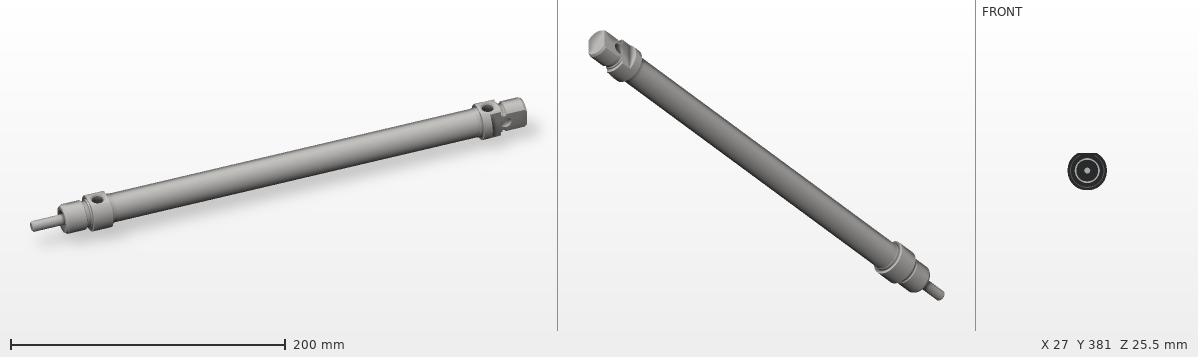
import cadquery as cq
import math

overall_length = 381.0

rod_dia = 8.0
rod_tip_dia = 6.0
wrench_flat_height = 3.62
wrench_flat_length = 4.0

spigot_dia = 22.0
groove_dia = 20.0
spigot_chamfer = 1.0
spigot_chamfer_length = 2.0
collar_dia = 27.0
collar_length = 15.0
lip_length = 2.3
port_flat_height = 12.0
groove_margin = 1.0
groove_length = 3.5
groove_slope = 0.57

nose_y = 23.5
front_collar_y = 44.0
seal_recess_dia = 12.0
seal_recess_mouth_dia = 14.0
seal_recess_depth = 2.3
rod_clearance_dia = 9.0
rod_clearance_depth = 2.3

rear_collar_end_y = 360.8
tang_width = 15.2
tang_start_y = 352.5
pin_hole_dia = 8.5
pin_hole_y = 365.0

port_dia = 8.5
port_mouth_dia = 10.5
rear_port_depth = 8.5
drill_point_angle = 118.0

barrel_dia = 21.5
barrel_start_y = front_collar_y + collar_length + lip_length
rear_collar_start_y = rear_collar_end_y - collar_length
barrel_end_y = rear_collar_start_y - lip_length


def turned(profile):
    """Revolve a (radius, y) profile, closed along the axis, about the Y axis."""
    first_y = profile[0][1]
    last_y = profile[-1][1]
    points = [(0, first_y), *profile, (0, last_y)]
    return cq.Workplane("XY").polyline(points).close().revolve(360, (0, 0, 0), (0, 1, 0))


def cylinder(diameter, start_y, end_y):
    return turned([(diameter / 2, start_y), (diameter / 2, end_y)])


def cap_blank(end_y, collar_y, barrel_y):
    """Turned cap running from its outer end towards the barrel, in either direction along Y."""
    inward = math.copysign(1, barrel_y - end_y)
    groove_end = collar_y - inward * groove_margin
    groove_start = groove_end - inward * groove_length
    spigot_radius = spigot_dia / 2
    groove_radius = groove_dia / 2
    collar_end = collar_y + inward * collar_length
    return turned([
        (spigot_radius - spigot_chamfer, end_y),
        (spigot_radius, end_y + inward * spigot_chamfer_length),
        (spigot_radius, groove_start),
        (groove_radius, groove_start + inward * groove_slope),
        (groove_radius, groove_end),
        (spigot_radius, groove_end),
        (spigot_radius, collar_y),
        (collar_dia / 2, collar_y),
        (collar_dia / 2, collar_end),
        (spigot_radius, collar_end),
        (spigot_radius, barrel_y),
    ])


def above_port_flat(collar_start_y):
    """Material removed from the top of a collar to leave the flat around its port."""
    return cq.Workplane("XY").box(
        collar_dia, collar_length, collar_dia, centered=(True, False, False)
    ).translate((0, collar_start_y, port_flat_height))


def port_hole(y, depth):
    """Cutter for a round port with a countersunk mouth in the port flat."""
    hole = cq.Workplane("XY", origin=(0, y, port_flat_height)).circle(port_dia / 2).extrude(-depth)
    countersink = cq.Solid.makeCone(
        port_mouth_dia / 2, port_dia / 2, (port_mouth_dia - port_dia) / 2,
        cq.Vector(0, y, port_flat_height), cq.Vector(0, 0, -1),
    )
    return hole.union(cq.Workplane(countersink))


def make_rod():
    tip_chamfer = (rod_dia - rod_tip_dia) / 2
    rod = turned([
        (rod_tip_dia / 2, 0),
        (rod_dia / 2, tip_chamfer),
        (rod_dia / 2, barrel_start_y),
    ])
    flats = cq.Workplane("XY").box(
        rod_dia, wrench_flat_length, 2 * wrench_flat_height
    ).translate((0, nose_y - wrench_flat_length / 2, 0))
    flatted_stretch = cylinder(rod_dia, nose_y - wrench_flat_length, nose_y)
    return rod.cut(flatted_stretch.cut(flats))


def make_front_cap():
    cap = cap_blank(nose_y, front_collar_y, barrel_start_y)
    cap = cap.cut(above_port_flat(front_collar_y))
    recess_floor_y = nose_y + seal_recess_depth
    recess_radius = seal_recess_dia / 2
    mouth_radius = seal_recess_mouth_dia / 2
    cap = cap.cut(turned([
        (mouth_radius, nose_y),
        (recess_radius, nose_y + mouth_radius - recess_radius),
        (recess_radius, recess_floor_y),
        (rod_clearance_dia / 2, recess_floor_y),
        (rod_clearance_dia / 2, recess_floor_y + rod_clearance_depth),
    ]))
    port_y = front_collar_y + collar_length / 2
    cap = cap.cut(port_hole(port_y, port_flat_height))
    return cap.cut(cylinder(rod_dia, nose_y, barrel_start_y))


def make_rear_cap():
    cap = cap_blank(overall_length, rear_collar_end_y, barrel_end_y)
    cap = cap.cut(above_port_flat(rear_collar_start_y))

    tang_length = overall_length - tang_start_y
    side_width = (collar_dia - tang_width) / 2
    side_offset = (tang_width + side_width) / 2
    for side in (-1, 1):
        side_block = cq.Workplane("XY").box(side_width, tang_length, collar_dia)
        cap = cap.cut(side_block.translate((side * side_offset, tang_start_y + tang_length / 2, 0)))

    pin_hole = cq.Workplane("YZ", origin=(0, pin_hole_y, 0)).circle(pin_hole_dia / 2).extrude(
        collar_dia, both=True
    )
    cap = cap.cut(pin_hole)

    port_y = rear_collar_start_y + collar_length / 2
    point_depth = port_dia / 2 / math.tan(math.radians(drill_point_angle / 2))
    drill_point = cq.Solid.makeCone(
        port_dia / 2, 0, point_depth,
        cq.Vector(0, port_y, port_flat_height - rear_port_depth), cq.Vector(0, 0, -1),
    )
    return cap.cut(port_hole(port_y, rear_port_depth)).cut(cq.Workplane(drill_point))


rod = make_rod()
front_cap = make_front_cap()
barrel = cylinder(barrel_dia, barrel_start_y, barrel_end_y)
rear_cap = make_rear_cap()

result = cq.Compound.makeCompound([rod.val(), front_cap.val(), barrel.val(), rear_cap.val()])